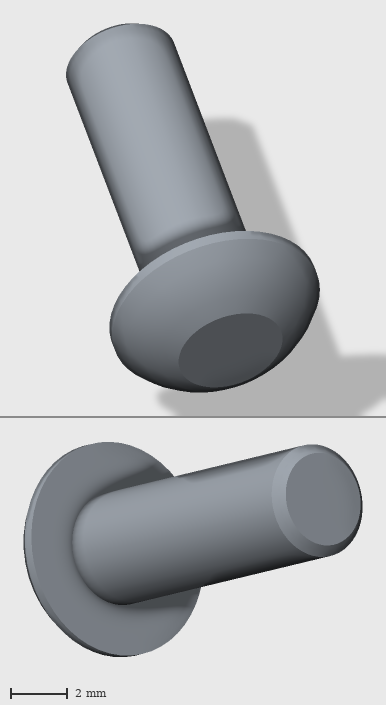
import cadquery as cq
import math

total_length = 14.2
shank_length = 12.0
shank_radius = 4.0 / 2
tip_chamfer = 0.35
head_radius = 7.6 / 2
rim_thickness = 0.38
crown_radius = 1.9

rim_end = shank_length + rim_thickness
dome_height = total_length - rim_end
dome_center = (rim_end + total_length) / 2 - (head_radius**2 - crown_radius**2) / (2 * dome_height)
dome_radius = math.hypot(rim_end - dome_center, head_radius)
dome_mid_x = (rim_end + total_length) / 2
dome_mid_radius = math.sqrt(dome_radius**2 - (dome_mid_x - dome_center) ** 2)

profile = (
    cq.Workplane("XY")
    .moveTo(0, 0)
    .lineTo(0, shank_radius - tip_chamfer)
    .lineTo(tip_chamfer, shank_radius)
    .lineTo(shank_length, shank_radius)
    .lineTo(shank_length, head_radius)
    .lineTo(rim_end, head_radius)
    .threePointArc((dome_mid_x, dome_mid_radius), (total_length, crown_radius))
    .lineTo(total_length, 0)
    .close()
)

result = profile.revolve(360, (0, 0, 0), (1, 0, 0))